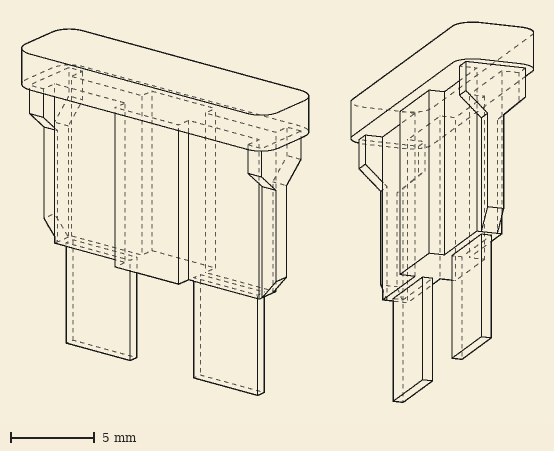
import cadquery as cq


cap_length = 19.05
cap_depth = 5.09
total_height = 18.8

cap_height = 2.29
cap_corner_radius = 1.28

center_width = 4.8
center_depth = 3.55
panel_span = 15.47
panel_depth = 1.6
rib_span = 17.56
rib_depth = 1.03
rib_chamfer_height = 1.25

shoulder_depth = 3.81
shoulder_straight_height = 1.81
shoulder_taper_height = 1.25

blade_length = 6.38
blade_outer_span = 14.5
blade_depth = 0.65

cap_bottom = total_height - cap_height
housing_bottom = blade_length
housing_height = cap_bottom - housing_bottom
shoulder_taper_top = cap_bottom - shoulder_straight_height
shoulder_taper_bottom = shoulder_taper_top - shoulder_taper_height
end_width = (rib_span - panel_span) / 2
blade_width = (blade_outer_span - center_width) / 2


def block(length, depth, height, bottom, center_x=0):
    """Upright box centred on Y, with its underside at the given level."""
    return (
        cq.Workplane("XY", origin=(center_x, 0, bottom))
        .box(length, depth, height, centered=(True, True, False))
    )


def make_cap():
    cap = block(cap_length, cap_depth, cap_height, cap_bottom)
    return cap.edges("|Z").fillet(cap_corner_radius)


def make_rib():
    """Thin full-width plate whose lower corners are cut off up to the panels."""
    return (
        cq.Workplane("XZ")
        .moveTo(-panel_span / 2, housing_bottom)
        .lineTo(panel_span / 2, housing_bottom)
        .lineTo(rib_span / 2, housing_bottom + rib_chamfer_height)
        .lineTo(rib_span / 2, cap_bottom)
        .lineTo(-rib_span / 2, cap_bottom)
        .lineTo(-rib_span / 2, housing_bottom + rib_chamfer_height)
        .close()
        .extrude(rib_depth / 2, both=True)
    )


def make_shoulder(start_x):
    """End block, straight at the top and tapering down to the rib thickness."""
    return (
        cq.Workplane("YZ", origin=(start_x, 0, 0))
        .moveTo(-shoulder_depth / 2, cap_bottom)
        .lineTo(-shoulder_depth / 2, shoulder_taper_top)
        .lineTo(-rib_depth / 2, shoulder_taper_bottom)
        .lineTo(rib_depth / 2, shoulder_taper_bottom)
        .lineTo(shoulder_depth / 2, shoulder_taper_top)
        .lineTo(shoulder_depth / 2, cap_bottom)
        .close()
        .extrude(end_width)
    )


def make_housing():
    center = block(center_width, center_depth, housing_height, housing_bottom)
    panels = block(panel_span, panel_depth, housing_height, housing_bottom)
    housing = center.union(panels).union(make_rib())
    for start_x in (-rib_span / 2, panel_span / 2):
        housing = housing.union(make_shoulder(start_x))
    return housing


def make_blade(side):
    center_x = side * (center_width + blade_width) / 2
    return block(blade_width, blade_depth, blade_length, 0, center_x)


result = make_cap().union(make_housing())
for side in (-1, 1):
    result = result.union(make_blade(side))